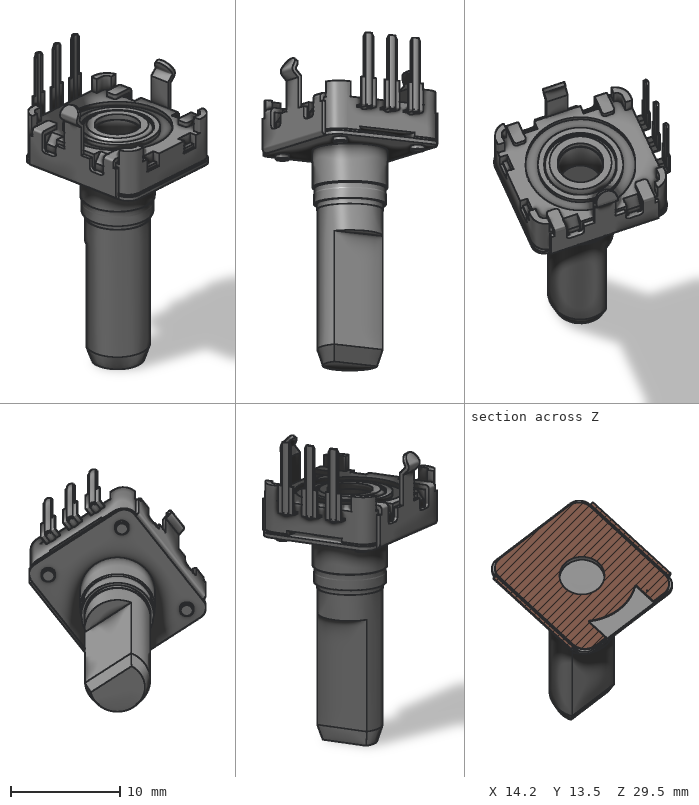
import cadquery as cq
import math


OVERLAP = 0.1

HOUSING_HALF_X = 6.6
HOUSING_HALF_Y = 5.8
HOUSING_TOP = 3.58
HOUSING_BOTTOM = 0.56
HOUSING_CORNER_RADIUS = 1.5
SPACER_INSET = 0.1

POST_TOP = 5.0
POST_WALL = 0.68
POST_END_X = 5.27
POST_END_Y = 3.84
POST_INNER_RADIUS = 0.6
POST_EDGE_RADIUS = 0.12

WINDOW_WIDTH = 5.82
WINDOW_TOP = 0.9
WINDOW_BACK_RADIUS = 5.0

NOTCH_WIDTH = 1.62
NOTCH_CENTER_Y = 2.53
NOTCH_DEPTH = 0.7
NOTCH_FLOOR = 2.6
NOTCH_STEP_DEPTH = 0.27
NOTCH_STEP_FLOOR = 2.3

RECESS_INNER_RADIUS = 3.9
RECESS_OUTER_RADIUS = 5.03
RECESS_DEPTH = 0.4
COLLAR_TOP = 3.75
COLLAR_RADIUS = 2.84
COLLAR_CHAMFER = 0.4
COLLAR_GAP_RADIUS = 3.34
BORE_RADIUS = 2.1
BORE_STEP_DEPTH = 0.55
BORE_LOWER_RADIUS = 2.04
BORE_FLOOR = 0.0

SHEET = 0.37
PLATE_CORNER_RADIUS = 1.2
BEND_RADIUS = 0.46
WALL_HALF_X = POST_END_X
WALL_OUTER_Y = HOUSING_HALF_Y + SHEET
WALL_TOP = 3.2
SLOT_INNER_X = 2.05
SLOT_OUTER_X = 3.75
SLOT_FLOOR = 1.98
SLOT_RADIUS = 0.4
POCKET_INNER_X = 2.27
POCKET_OUTER_X = 3.68
POCKET_TOP_DEPTH = 0.88
POCKET_MID_DEPTH = 0.33
POCKET_WALL_DEPTH = 0.15
POCKET_WALL_TOP = 2.65
POCKET_SLOPE_HEIGHT = 0.73

TAB_INNER_X = SLOT_OUTER_X
TAB_OUTER_X = 4.94
TAB_TOP = 4.02
TAB_END_Y = 3.93
TAB_CORNER_RADIUS = 0.3

CLIP_HALF_WIDTH = 1.03
CLIP_BEND_Z = 6.05
CLIP_KNEE_Y = 6.91
CLIP_KNEE_Z = 6.77
CLIP_TIP_Z = 8.0
CLIP_KNEE_INNER_RADIUS = 0.16
CLIP_TIP_Y = 6.17

BOSS_X = 5.1
BOSS_Y = 4.13
BOSS_RADIUS = 0.64
BOSS_HEIGHT = 0.45
BOSS_CHAMFER = 0.1

BUSHING_RADIUS = 3.43
BUSHING_LENGTH = 3.45
GROOVE_RADIUS = 3.28
GROOVE_SIDE = 0.1
GROOVE_END = 4.1
NOSE_RADIUS = 3.3
NOSE_END = 5.0
SHOULDER_RADIUS = 3.05
SHOULDER_END = 5.5
SHAFT_RADIUS = 3.0
SHAFT_LENGTH = 20.0
FLAT_START = 7.95
FLAT_X = -1.5
TIP_CHAMFER = 0.5
TIP_CHAMFER_LENGTH = 1.5

PIN_PITCH = 2.5
PIN_COUNT = 3
PIN_OUTER_X = -7.5
PIN_THICKNESS = 0.17
PIN_FOOT_BOTTOM = 2.66
PIN_BASE_WIDTH = 1.56
PIN_BASE_TOP = 5.35
PIN_WIDTH = 0.98
PIN_TOP = 9.5
PIN_TIP_WIDTH = 0.6
PIN_TIP_LENGTH = 0.35
RIB_WIDTH = 0.68
RIB_HEIGHT = 0.15
CREASE_WIDTH = 0.44
CREASE_DEPTH = 0.1

MIRRORED = (-1, 1)


def box(x_range, y_range, z_range):
    """Axis-aligned box between pairs of limits given in either order."""
    x_low, x_high = sorted(x_range)
    y_low, y_high = sorted(y_range)
    z_low, z_high = sorted(z_range)
    size = (x_high - x_low, y_high - y_low, z_high - z_low)
    return cq.Workplane("XY").box(*size, centered=False).translate((x_low, y_low, z_low))


def rounded_block(half_x, half_y, radius, bottom, top):
    block = box((-half_x, half_x), (-half_y, half_y), (bottom, top))
    return block.edges("|Z").fillet(radius)


def disc(radius, bottom, top):
    return cq.Workplane("XY").workplane(offset=bottom).circle(radius).extrude(top - bottom)


def on_all_corners(shape):
    """Copies of a shape built in the +X +Y quadrant, one in each quadrant."""
    right_half = shape.add(shape.mirror("XZ")).combine()
    return right_half.add(right_half.mirror("YZ")).combine()


def make_posts():
    block = rounded_block(
        HOUSING_HALF_X, HOUSING_HALF_Y, HOUSING_CORNER_RADIUS, HOUSING_TOP - OVERLAP, POST_TOP
    )
    inside = rounded_block(
        HOUSING_HALF_X - POST_WALL, HOUSING_HALF_Y - POST_WALL, POST_INNER_RADIUS,
        HOUSING_TOP - OVERLAP, POST_TOP,
    )
    corner = box((POST_END_X, HOUSING_HALF_X), (POST_END_Y, HOUSING_HALF_Y), (0, POST_TOP))
    corner = corner.edges("|Z and ((<X and >Y) or (>X and <Y))").fillet(POST_EDGE_RADIUS)
    return block.cut(inside).intersect(on_all_corners(corner))


def make_window():
    """Opening above the plate that ends on a round wall inside the housing."""
    opening = box(
        (-HOUSING_HALF_X, 0), (-WINDOW_WIDTH / 2, WINDOW_WIDTH / 2), (SHEET, WINDOW_TOP)
    )
    return opening.cut(disc(WINDOW_BACK_RADIUS, 0, HOUSING_TOP))


def make_notch(center_y):
    y_range = (center_y - NOTCH_WIDTH / 2, center_y + NOTCH_WIDTH / 2)
    notch = box((HOUSING_HALF_X - NOTCH_DEPTH, HOUSING_HALF_X), y_range, (NOTCH_FLOOR, HOUSING_TOP))
    step = box(
        (HOUSING_HALF_X - NOTCH_STEP_DEPTH, HOUSING_HALF_X), y_range, (NOTCH_STEP_FLOOR, HOUSING_TOP)
    )
    return notch.union(step)


def make_pockets():
    """Pockets in the housing behind the bracket slots: two slopes above an upright wall."""
    wall_y = HOUSING_HALF_Y - POCKET_WALL_DEPTH
    pocket = (
        cq.Workplane("YZ")
        .workplane(offset=POCKET_INNER_X)
        .moveTo(HOUSING_HALF_Y - POCKET_TOP_DEPTH, HOUSING_TOP)
        .lineTo(HOUSING_HALF_Y, HOUSING_TOP)
        .lineTo(HOUSING_HALF_Y, SLOT_FLOOR)
        .lineTo(wall_y, SLOT_FLOOR)
        .lineTo(wall_y, POCKET_WALL_TOP)
        .lineTo(HOUSING_HALF_Y - POCKET_MID_DEPTH, HOUSING_TOP - POCKET_SLOPE_HEIGHT)
        .close()
        .extrude(POCKET_OUTER_X - POCKET_INNER_X)
    )
    return on_all_corners(pocket)


def make_collar_gap():
    """Ring around the collar, with the collar's chamfer as its inner side."""
    foot_radius = COLLAR_RADIUS + COLLAR_CHAMFER
    foot_z = COLLAR_TOP - COLLAR_CHAMFER
    return (
        cq.Workplane("XZ")
        .moveTo(COLLAR_RADIUS, COLLAR_TOP)
        .lineTo(foot_radius, foot_z)
        .lineTo(COLLAR_GAP_RADIUS, foot_z)
        .lineTo(COLLAR_GAP_RADIUS, COLLAR_TOP)
        .close()
        .revolve(360, (0, 0), (0, 1))
    )


def make_housing():
    housing = rounded_block(
        HOUSING_HALF_X, HOUSING_HALF_Y, HOUSING_CORNER_RADIUS, HOUSING_BOTTOM, HOUSING_TOP
    )
    spacer = rounded_block(
        HOUSING_HALF_X - SPACER_INSET, HOUSING_HALF_Y - SPACER_INSET, HOUSING_CORNER_RADIUS,
        SHEET - OVERLAP, HOUSING_BOTTOM + OVERLAP,
    )
    recess = disc(RECESS_OUTER_RADIUS, HOUSING_TOP - RECESS_DEPTH, HOUSING_TOP)
    recess = recess.cut(disc(RECESS_INNER_RADIUS, 0, HOUSING_TOP))
    housing = housing.union(spacer).cut(recess).cut(make_window()).cut(make_pockets())
    for side in MIRRORED:
        housing = housing.cut(make_notch(side * NOTCH_CENTER_Y))
    collar = disc(COLLAR_GAP_RADIUS, HOUSING_TOP - OVERLAP, COLLAR_TOP)
    return housing.union(make_posts()).union(collar).cut(make_collar_gap())


def make_bore():
    step_z = COLLAR_TOP - BORE_STEP_DEPTH
    return disc(BORE_RADIUS, step_z, COLLAR_TOP).union(disc(BORE_LOWER_RADIUS, BORE_FLOOR, step_z))


def make_bracket_channel():
    """Plate under the housing and the two walls bent up from it."""
    wall_block = box((-WALL_HALF_X, WALL_HALF_X), (-WALL_OUTER_Y, WALL_OUTER_Y), (0, WALL_TOP))
    wall_block = wall_block.edges("|X and <Z").fillet(BEND_RADIUS)
    inside = box((-WALL_HALF_X, WALL_HALF_X), (-HOUSING_HALF_Y, HOUSING_HALF_Y), (SHEET, WALL_TOP))
    plate = rounded_block(HOUSING_HALF_X, HOUSING_HALF_Y, PLATE_CORNER_RADIUS, 0, SHEET)
    slot = box((SLOT_INNER_X, SLOT_OUTER_X), (HOUSING_HALF_Y, WALL_OUTER_Y), (SLOT_FLOOR, WALL_TOP))
    slot = slot.edges("|Y and <Z").fillet(SLOT_RADIUS)
    return wall_block.cut(inside).union(plate).cut(on_all_corners(slot))


def make_tabs():
    """Tabs rising from the walls and folded over the housing top."""
    x_range = (TAB_INNER_X, TAB_OUTER_X)
    tab = box(x_range, (TAB_END_Y, WALL_OUTER_Y), (WALL_TOP - OVERLAP, TAB_TOP))
    tab = tab.edges("|X and >Y and >Z").fillet(SHEET)
    tab = tab.edges("|Z and <Y").fillet(TAB_CORNER_RADIUS)
    under_tab = box(x_range, (TAB_END_Y, HOUSING_HALF_Y), (0, HOUSING_TOP))
    return on_all_corners(tab.cut(under_tab))


def make_clip():
    """Clip on the +Y wall: straight strip, outward bend and a round-ended tip leaning back in."""
    tip_angle = math.atan2(CLIP_KNEE_Y - CLIP_TIP_Y, CLIP_TIP_Z - CLIP_KNEE_Z)
    tip_length = math.hypot(CLIP_KNEE_Y - CLIP_TIP_Y, CLIP_TIP_Z - CLIP_KNEE_Z)
    bend_angle = math.atan2(CLIP_KNEE_Y - WALL_OUTER_Y, CLIP_KNEE_Z - CLIP_BEND_Z)
    bend_inner_z = CLIP_BEND_Z + SHEET * math.tan(bend_angle / 2)
    half_knee = (tip_angle + bend_angle) / 2
    knee_reach = SHEET / math.cos(half_knee)
    knee_tilt = (tip_angle - bend_angle) / 2
    knee_inner_y = CLIP_KNEE_Y - knee_reach * math.cos(knee_tilt)
    knee_inner_z = CLIP_KNEE_Z - knee_reach * math.sin(knee_tilt)
    strip = (
        cq.Workplane("YZ")
        .moveTo(WALL_OUTER_Y, WALL_TOP - OVERLAP)
        .lineTo(WALL_OUTER_Y, CLIP_BEND_Z)
        .lineTo(CLIP_KNEE_Y, CLIP_KNEE_Z)
        .lineTo(CLIP_TIP_Y, CLIP_TIP_Z)
        .lineTo(CLIP_TIP_Y - SHEET * math.cos(tip_angle), CLIP_TIP_Z - SHEET * math.sin(tip_angle))
        .lineTo(knee_inner_y, knee_inner_z)
        .lineTo(HOUSING_HALF_Y, bend_inner_z)
        .lineTo(HOUSING_HALF_Y, WALL_TOP - OVERLAP)
        .close()
        .extrude(CLIP_HALF_WIDTH, both=True)
    )
    outer_knee = cq.selectors.NearestToPointSelector((0, CLIP_KNEE_Y, CLIP_KNEE_Z))
    inner_knee = cq.selectors.NearestToPointSelector((0, knee_inner_y, knee_inner_z))
    strip = strip.edges("|X").edges(outer_knee).fillet(CLIP_KNEE_INNER_RADIUS + SHEET)
    strip = strip.edges("|X").edges(inner_knee).fillet(CLIP_KNEE_INNER_RADIUS)
    tip_plane = cq.Plane(
        origin=(0, CLIP_KNEE_Y, CLIP_KNEE_Z),
        xDir=(-1, 0, 0),
        normal=(0, math.cos(tip_angle), math.sin(tip_angle)),
    )
    arc_start = tip_length - CLIP_HALF_WIDTH
    corners = (
        cq.Workplane(tip_plane)
        .moveTo(-CLIP_HALF_WIDTH, arc_start)
        .threePointArc((0, tip_length), (CLIP_HALF_WIDTH, arc_start))
        .lineTo(CLIP_HALF_WIDTH, tip_length + OVERLAP)
        .lineTo(-CLIP_HALF_WIDTH, tip_length + OVERLAP)
        .close()
        .extrude(SHEET, both=True)
    )
    return strip.cut(corners)


def make_bosses():
    boss = disc(BOSS_RADIUS, -BOSS_HEIGHT, SHEET).faces("<Z").chamfer(BOSS_CHAMFER)
    return on_all_corners(boss.translate((BOSS_X, BOSS_Y, 0)))


def make_bracket():
    clip = make_clip()
    bracket = make_bracket_channel().union(make_tabs()).union(make_bosses())
    return bracket.union(clip).union(clip.mirror("XZ"))


def make_shaft():
    """Bushing and shaft as one turned profile, then the flat with its tapered end."""
    shaft = (
        cq.Workplane("XZ")
        .moveTo(0, SHEET)
        .lineTo(BUSHING_RADIUS, SHEET)
        .lineTo(BUSHING_RADIUS, -BUSHING_LENGTH)
        .lineTo(GROOVE_RADIUS, -BUSHING_LENGTH - GROOVE_SIDE)
        .lineTo(GROOVE_RADIUS, -GROOVE_END + GROOVE_SIDE)
        .lineTo(NOSE_RADIUS, -GROOVE_END)
        .lineTo(NOSE_RADIUS, -NOSE_END)
        .lineTo(SHOULDER_RADIUS, -NOSE_END)
        .lineTo(SHOULDER_RADIUS, -SHOULDER_END)
        .lineTo(SHAFT_RADIUS, -SHOULDER_END)
        .lineTo(SHAFT_RADIUS, -SHAFT_LENGTH + TIP_CHAMFER_LENGTH)
        .lineTo(SHAFT_RADIUS - TIP_CHAMFER, -SHAFT_LENGTH)
        .lineTo(0, -SHAFT_LENGTH)
        .close()
        .revolve(360, (0, 0), (0, 1))
    )
    flat = (
        cq.Workplane("XZ")
        .moveTo(-SHAFT_RADIUS, -FLAT_START)
        .lineTo(FLAT_X, -FLAT_START)
        .lineTo(FLAT_X, -SHAFT_LENGTH + TIP_CHAMFER_LENGTH)
        .lineTo(FLAT_X + TIP_CHAMFER, -SHAFT_LENGTH)
        .lineTo(-SHAFT_RADIUS, -SHAFT_LENGTH)
        .close()
        .extrude(SHAFT_RADIUS, both=True)
    )
    return shaft.cut(flat)


def arc_bar(plane, width, height, length):
    """Bar with a circular-segment section, its chord centred on the plane's origin."""
    section = cq.Workplane(plane).moveTo(-width / 2, 0).threePointArc((0, height), (width / 2, 0))
    return section.close().extrude(length)


def make_pin():
    """Terminal at Y = 0: foot out of the housing, blade upward, pressed rib along both."""
    inner_x = PIN_OUTER_X + PIN_THICKNESS
    foot_top = PIN_FOOT_BOTTOM + PIN_THICKNESS
    foot_length = -HOUSING_HALF_X + OVERLAP - PIN_OUTER_X
    blade = (
        cq.Workplane("YZ")
        .workplane(offset=PIN_OUTER_X)
        .moveTo(-PIN_BASE_WIDTH / 2, PIN_FOOT_BOTTOM)
        .lineTo(-PIN_BASE_WIDTH / 2, PIN_BASE_TOP)
        .lineTo(-PIN_WIDTH / 2, PIN_BASE_TOP)
        .lineTo(-PIN_WIDTH / 2, PIN_TOP - PIN_TIP_LENGTH)
        .lineTo(-PIN_TIP_WIDTH / 2, PIN_TOP)
        .lineTo(PIN_TIP_WIDTH / 2, PIN_TOP)
        .lineTo(PIN_WIDTH / 2, PIN_TOP - PIN_TIP_LENGTH)
        .lineTo(PIN_WIDTH / 2, PIN_BASE_TOP)
        .lineTo(PIN_BASE_WIDTH / 2, PIN_BASE_TOP)
        .lineTo(PIN_BASE_WIDTH / 2, PIN_FOOT_BOTTOM)
        .close()
        .extrude(PIN_THICKNESS)
    )
    foot = box(
        (PIN_OUTER_X, PIN_OUTER_X + foot_length),
        (-PIN_BASE_WIDTH / 2, PIN_BASE_WIDTH / 2),
        (PIN_FOOT_BOTTOM, foot_top),
    )
    blade_plane = cq.Plane(origin=(PIN_OUTER_X, 0, PIN_FOOT_BOTTOM), xDir=(0, 1, 0), normal=(0, 0, 1))
    foot_plane = cq.Plane(origin=(PIN_OUTER_X, 0, PIN_FOOT_BOTTOM), xDir=(0, -1, 0), normal=(1, 0, 0))
    blade_crease = cq.Plane(origin=(inner_x, 0, foot_top), xDir=(0, 1, 0), normal=(0, 0, 1))
    foot_crease = cq.Plane(origin=(inner_x, 0, foot_top), xDir=(0, -1, 0), normal=(1, 0, 0))
    blade_length = PIN_TOP - PIN_FOOT_BOTTOM
    pin = blade.union(foot).edges("|Y and <X and <Z").fillet(PIN_THICKNESS)
    pin = pin.union(arc_bar(blade_plane, RIB_WIDTH, RIB_HEIGHT, blade_length))
    pin = pin.union(arc_bar(foot_plane, RIB_WIDTH, RIB_HEIGHT, foot_length))
    pin = pin.cut(arc_bar(blade_crease, CREASE_WIDTH, CREASE_DEPTH, blade_length))
    return pin.cut(arc_bar(foot_crease, CREASE_WIDTH, CREASE_DEPTH, foot_length - PIN_THICKNESS - OVERLAP))


def make_part():
    part = make_housing().union(make_bracket()).union(make_shaft()).cut(make_bore())
    pin = make_pin()
    for index in range(PIN_COUNT):
        pin_y = (index - (PIN_COUNT - 1) / 2) * PIN_PITCH
        part = part.union(pin.translate((0, pin_y, 0)))
    return part


result = make_part()